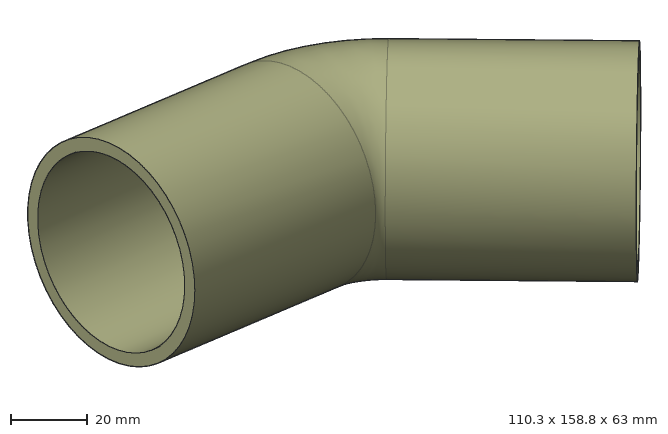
import cadquery as cq
import math

outer_diameter = 63.0
bore_diameter = 55.4
bend_angle = 45.0
end_to_corner = 80.0
bend_radius = 35.0

tangent_length = bend_radius * math.tan(math.radians(bend_angle / 2))
leg_length = end_to_corner - tangent_length


def elbow(diameter):
    """Solid elbow: a leg along +Y, a bend towards +X in the XY plane, and a second leg."""
    entry_leg = (
        cq.Workplane("XZ", origin=(0, -leg_length, 0))
        .circle(diameter / 2)
        .extrude(-leg_length)
    )
    bend = (
        cq.Workplane("XZ")
        .circle(diameter / 2)
        .revolve(bend_angle, (bend_radius, 0, 0), (bend_radius, -1, 0))
    )
    exit_leg = (
        cq.Workplane("XZ")
        .circle(diameter / 2)
        .extrude(-leg_length)
        .rotate((bend_radius, 0, 0), (bend_radius, 0, 1), -bend_angle)
    )
    return entry_leg.union(bend).union(exit_leg)


result = elbow(outer_diameter).cut(elbow(bore_diameter))